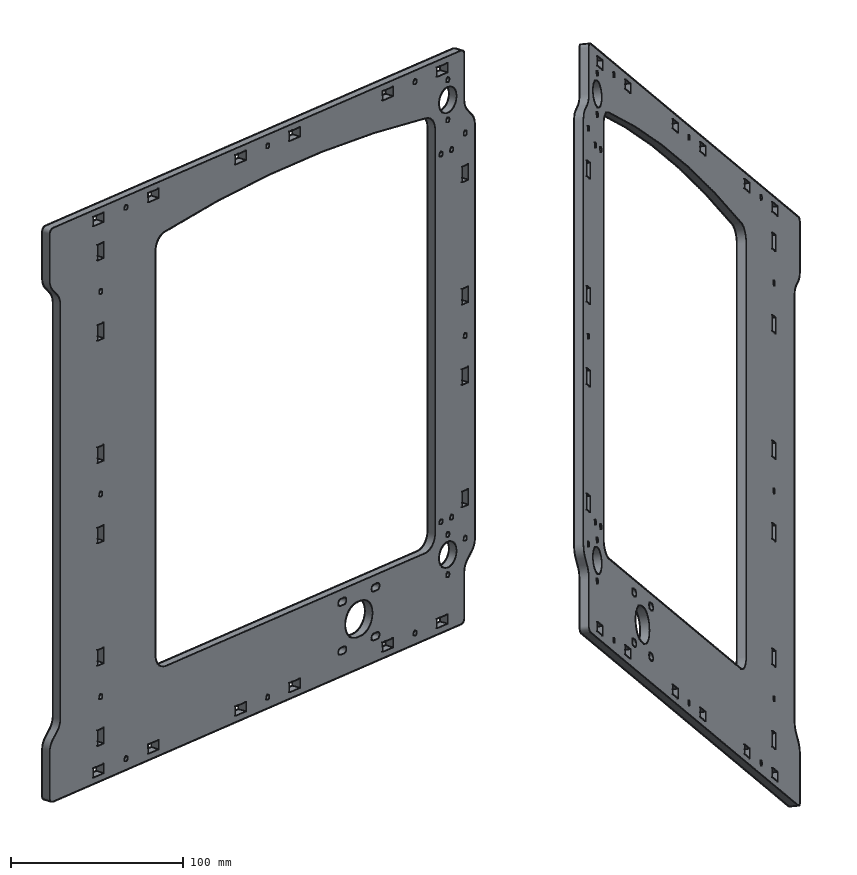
import cadquery as cq

thickness = 6.0
length_y = 390.0
height_z = 357.0
half_y = length_y / 2
half_z = height_z / 2

edge_step = 9.8
step_start = 36.0
step_blend_radius = 10.0
outer_corner_radius = 3.0

window_left = 158.5
window_right = -98.0
window_bottom = -124.5
window_shoulder = 144.5
window_crown = 153.3
window_corner_radius = 9.5

slot_length = 9.8
slot_width = thickness
row_inset = 7.0
row_slots_y = (165.0, 115.0, 29.5, -20.0, -100.0, -150.0)
left_column_y = 186.0
right_column_y = -148.2
inner_slot_z = 25.0
outer_slot_z = 101.0
corner_slot_z = 151.0

screw_diameter = 3.1

rod_diameter = 16.0
rod_y = 170.0
rod_upper_z = 151.5
rod_lower_z = -131.5
rod_screw_offset = 12.5
pair_y = (173.5, 163.8)
pair_upper_z = 119.5
pair_lower_z = -109.2

motor_y = 88.5
motor_z = -147.5
motor_travel = 3.0
motor_bore = 22.0
motor_screw_diameter = 4.3
motor_screw_spacing = 30.5


def plate_sketch():
    """Start a sketch on the plate's middle plane, in (y, z) coordinates."""
    return cq.Workplane("YZ")


def through_edges_at(points):
    """Select the edges running through the plate at the given (y, z) corners."""
    margin = 0.5
    selection = None
    for y, z in points:
        box = cq.selectors.BoxSelector(
            (-thickness, y - margin, z - margin),
            (thickness, y + margin, z + margin),
        )
        selection = box if selection is None else selection + box
    return selection


def plate():
    left_inner = half_y - edge_step
    right_inner = -half_y + edge_step
    step_outer_z = half_z - step_start
    step_inner_z = step_outer_z - edge_step

    top_corners = [(left_inner, half_z), (-half_y, half_z)]
    bottom_corners = [(-half_y, -half_z), (left_inner, -half_z)]
    right_steps = [
        (-half_y, step_outer_z),
        (right_inner, step_inner_z),
        (right_inner, -step_inner_z),
        (-half_y, -step_outer_z),
    ]
    left_steps = [
        (left_inner, -step_outer_z),
        (half_y, -step_inner_z),
        (half_y, step_inner_z),
        (left_inner, step_outer_z),
    ]
    outline = top_corners + right_steps + bottom_corners + left_steps
    body = plate_sketch().polyline(outline).close().extrude(thickness / 2, both=True)
    body = body.edges(through_edges_at(right_steps + left_steps)).fillet(step_blend_radius)
    return body.edges(through_edges_at(top_corners + bottom_corners)).fillet(outer_corner_radius)


def window():
    middle_y = (window_left + window_right) / 2
    opening = (
        plate_sketch()
        .moveTo(window_left, window_shoulder)
        .lineTo(window_left, window_bottom)
        .lineTo(window_right, window_bottom)
        .lineTo(window_right, window_shoulder)
        .threePointArc((middle_y, window_crown), (window_left, window_shoulder))
        .close()
        .extrude(thickness, both=True)
    )
    return opening.edges("|X").fillet(window_corner_radius)


def tab_slots():
    row_z = half_z - row_inset
    row_points = [(y, z) for y in row_slots_y for z in (row_z, -row_z)]
    column_z = [sign * z for z in (inner_slot_z, outer_slot_z) for sign in (1, -1)]
    column_points = [(y, z) for y in (left_column_y, right_column_y) for z in column_z]
    column_points += [(right_column_y, corner_slot_z), (right_column_y, -corner_slot_z)]

    rows = plate_sketch().pushPoints(row_points).rect(slot_length, slot_width)
    columns = plate_sketch().pushPoints(column_points).rect(slot_width, slot_length)
    return rows.extrude(thickness, both=True).add(columns.extrude(thickness, both=True)).combine()


def screw_holes():
    row_z = half_z - row_inset
    row_y = [(a + b) / 2 for a, b in zip(row_slots_y[::2], row_slots_y[1::2])]
    points = [(y, z) for y in row_y for z in (row_z, -row_z)]

    outer_screw_z = (outer_slot_z + corner_slot_z) / 2
    for y in (left_column_y, right_column_y):
        points += [(y, z) for z in (outer_screw_z, 0, -outer_screw_z)]

    for z in (rod_upper_z, rod_lower_z):
        points += [(rod_y, z + rod_screw_offset), (rod_y, z - rod_screw_offset)]
    points += [(y, z) for y in pair_y for z in (pair_upper_z, pair_lower_z)]
    return plate_sketch().pushPoints(points).circle(screw_diameter / 2).extrude(thickness, both=True)


def rod_holes():
    points = [(rod_y, rod_upper_z), (rod_y, rod_lower_z)]
    return plate_sketch().pushPoints(points).circle(rod_diameter / 2).extrude(thickness, both=True)


def motor_mount():
    bore = (
        plate_sketch()
        .center(motor_y, motor_z)
        .slot2D(motor_bore + motor_travel, motor_bore)
        .extrude(thickness, both=True)
    )
    screws = (
        plate_sketch()
        .center(motor_y, motor_z)
        .rarray(motor_screw_spacing, motor_screw_spacing, 2, 2)
        .slot2D(motor_screw_diameter + motor_travel, motor_screw_diameter)
        .extrude(thickness, both=True)
    )
    return bore.add(screws).combine()


result = plate()
for opening in (window(), tab_slots(), screw_holes(), rod_holes(), motor_mount()):
    result = result.cut(opening)